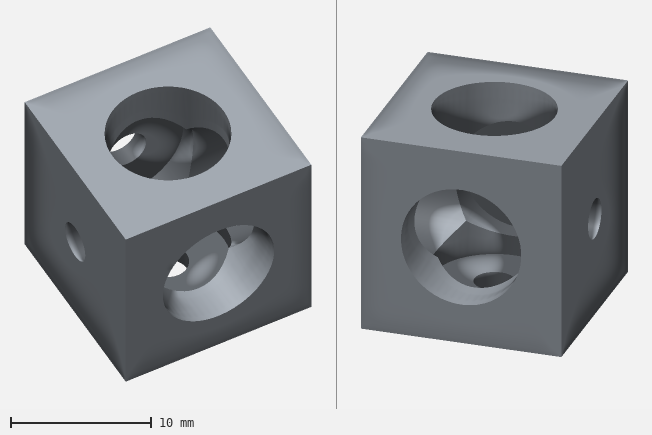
import cadquery as cq

side = 15.0
small_diameter = 3.0
large_diameter = 9.0
wall = 1.5
bore_depth = side - wall

result = cq.Workplane("XY").box(side, side, side)
for face in (">X", ">Y", ">Z"):
    result = (
        result.faces(face)
        .workplane(origin=(0, 0, 0))
        .cboreHole(small_diameter, large_diameter, bore_depth)
    )